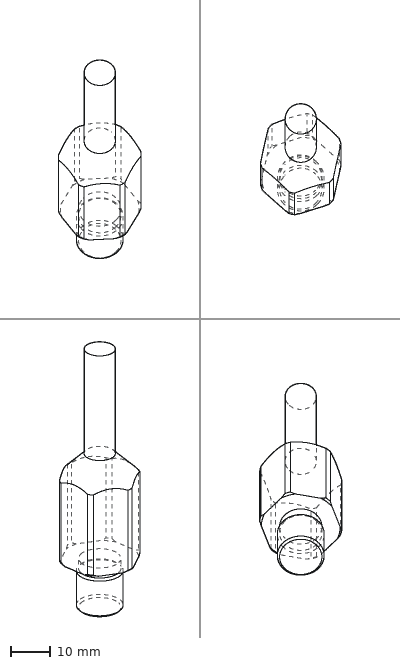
import cadquery as cq
import math

total_height = 74.0
rod_length = 30.0
hex_bottom = 14.0
collar_top = 11.1

rod_diameter = 8.0
hex_across_flats = 19.0
hex_corner_diameter = 21.2
neck_diameter = 10.8
collar_diameter = 12.0

collar_bottom_chamfer = 0.6
hex_bottom_face_diameter = 20.1
hex_bottom_chamfer_height = 0.5

rod_radius = rod_diameter / 2
neck_radius = neck_diameter / 2
collar_radius = collar_diameter / 2
corner_radius = hex_corner_diameter / 2
shoulder_top = total_height - rod_length
shoulder_bottom = shoulder_top - (corner_radius - rod_radius)
collar_top_chamfer = collar_radius - neck_radius


def revolve_profile(points):
    """Turn an outline of (radius, height) points around the Z axis."""
    return cq.Workplane("XZ").polyline(points).close().revolve(360, (0, 0), (0, 1))


def hex_body():
    """Hexagon with turned corners, a conical shoulder and a bottom chamfer."""
    across_corners = hex_across_flats / math.cos(math.radians(30))
    prism = (
        cq.Workplane("XY")
        .workplane(offset=hex_bottom)
        .polygon(6, across_corners)
        .extrude(shoulder_top - hex_bottom)
    )
    turned_envelope = revolve_profile([
        (0, hex_bottom),
        (hex_bottom_face_diameter / 2, hex_bottom),
        (corner_radius, hex_bottom + hex_bottom_chamfer_height),
        (corner_radius, shoulder_bottom),
        (rod_radius, shoulder_top),
        (0, shoulder_top),
    ])
    return prism.intersect(turned_envelope)


def rod():
    """Plain round rod above the shoulder."""
    return cq.Workplane("XY").workplane(offset=shoulder_top).circle(rod_radius).extrude(rod_length)


def spigot():
    """Chamfered collar joined to the hexagon by a narrower neck."""
    return revolve_profile([
        (0, 0),
        (collar_radius - collar_bottom_chamfer, 0),
        (collar_radius, collar_bottom_chamfer),
        (collar_radius, collar_top - collar_top_chamfer),
        (neck_radius, collar_top),
        (neck_radius, hex_bottom),
        (0, hex_bottom),
    ])


result = hex_body().union(rod()).union(spigot())